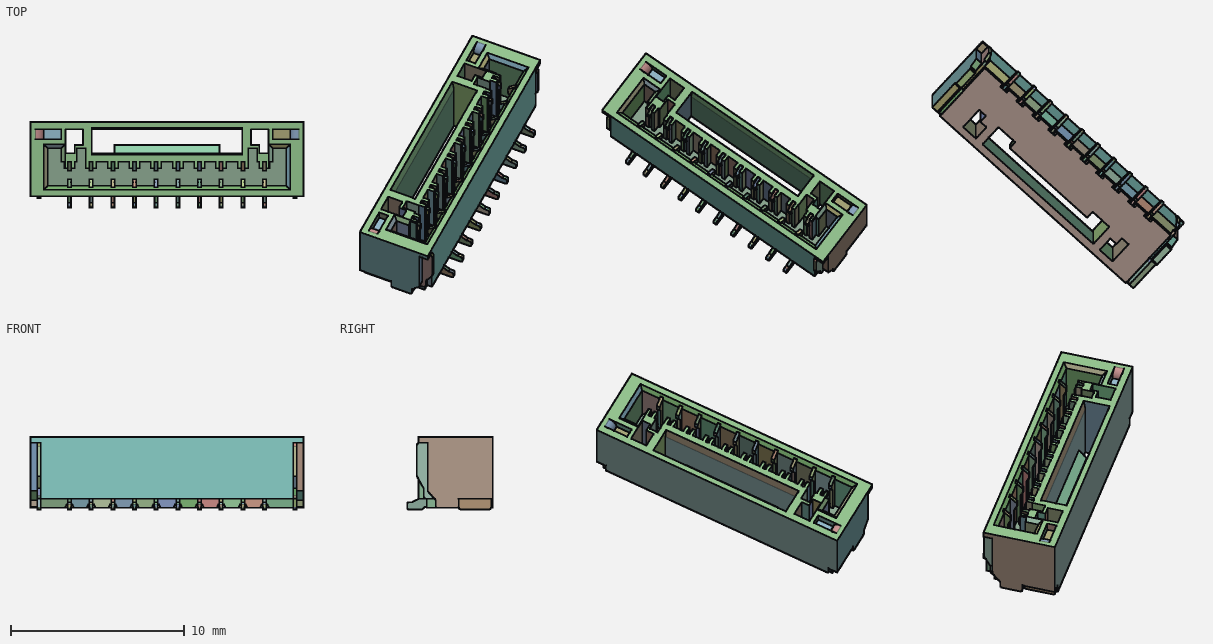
import cadquery as cq
import math


LENGTH = 15.75
DEPTH = 4.3
HEIGHT = 4.2
STANDOFF = 0.1
HALF = LENGTH / 2
SKIRT_Z = 0.62
BASE_FRONT_Y = 0.47
FLANGE_Z = 3.87
END_INSET = 0.6
END_FRONT_Y = 0.53
END_FOOT_Y = 1.01
END_SLOPE_LOW_Z = 0.53
END_SLOPE_HIGH_Z = 1.08
FOOT_CHAMFER = 0.07

PIN_COUNT = 10
PITCH = 1.25
PIN_WIDTH = 0.2
PIN_XS = [(i - (PIN_COUNT - 1) / 2) * PITCH for i in range(PIN_COUNT)]

FLOOR_Z = 1.0
CAVITY_FRONT_Y = 0.61
CAVITY_END_X = HALF - 1.0
LEAD_IN = 0.225
RIB_WALL_Y = 2.0
POCKET_BACK_Y = 2.77
POCKET_INNER_X = HALF - 1.77
KEY_SLOT_X = HALF - 2.92
KEY_SLOT_WIDTH = 0.52
TOOTH_WIDTH = 0.6
TOOTH_DEPTH = 0.38

WINDOW_HALF = HALF - 3.54
WINDOW_FRONT_Y = 2.5
WINDOW_BACK_Y = 3.86
WINDOW_FLARE = 0.1
FLARE_Z = 0.6
LEDGE_HALF = 3.03
LEDGE_DEPTH = 0.47
LEDGE_Z = 1.0
LATCH_OUTER_X = HALF - 2.03
LATCH_INNER_X = HALF - 3.03
LATCH_STEP_X = HALF - 2.55
LATCH_FRONT_Y = 2.5
LATCH_STEP_Y = 2.97
LATCH_BACK_Y = 3.87
RAMP_OUTER_X = HALF - 0.29
RAMP_INNER_X = HALF - 1.77
RAMP_FRONT_Y = 3.31
RAMP_BACK_Y = 3.87
RAMP_RADIUS = 0.49

ANCHOR_INSET = 0.4
ANCHOR_THICKNESS = END_INSET - ANCHOR_INSET
ANCHOR_BACK_Y = 1.2
ANCHOR_PROUD = 0.1
ANCHOR_FOOT_Y = 0.3
ANCHOR_SLOPE_LOW_Z = 1.24
ANCHOR_SLOPE_HIGH_Z = 1.94
ANCHOR_ROUND = 0.2
TAB_BACK_Y = 4.2
TAB_LENGTH = 1.88
TAB_FRONT_Y = TAB_BACK_Y - TAB_LENGTH
TAB_CORNER = 0.15

REAR_TIP_Y = 1.48
FRONT_TIP_Y = 0.98
TIP_Z = 3.7
TIP_SLOPE_Z = 0.4
BUMP_FACE_Z = 0.35
BUMP_RETURN_Z = 0.3
FRONT_PRONG_BACK_Y = 0.52
PRONG_THICKNESS = 0.3
PRONG_ROOT_Z = 0.72
TAIL_TIP_Y = -0.65
TAIL_SHOULDER_Y = -0.36
TAIL_TOP_Z = 0.44
TAIL_CORNER = 0.12
TAIL_HEEL_Y = 0.2
TAIL_BEND_Y = 0.37
TAIL_BEND_Z = 0.15
EXIT_HALF_TOP = 0.17
EXIT_HALF_BOTTOM = 0.26
EXIT_HEIGHT = 0.2
EXIT_DEPTH = 0.2


def block(x0, x1, y0, y1, z0, z1):
    """Axis-aligned box between two corners."""
    return cq.Workplane("XY").box(x1 - x0, y1 - y0, z1 - z0, centered=False).translate((x0, y0, z0))


def side_profile(points, x0, x1):
    """Extrude a closed (Y, Z) outline from x0 to x1."""
    return cq.Workplane("YZ").polyline(points).close().extrude(x1 - x0).translate((x0, 0, 0))


def both_ends(shape):
    """The +X end shape together with its mirror image at -X."""
    return shape.union(shape.mirror("YZ"))


def lead_in(x0, x1, y0, y1):
    """Funnel that widens the rectangle (x0, x1, y0, y1) evenly up to the top face."""
    centre = ((x0 + x1) / 2, (y0 + y1) / 2)
    width = x1 - x0
    depth = y1 - y0
    return (
        cq.Workplane("XY", origin=(*centre, HEIGHT - LEAD_IN)).rect(width, depth)
        .workplane(offset=LEAD_IN).rect(width + 2 * LEAD_IN, depth + 2 * LEAD_IN)
        .loft(ruled=True)
    )


def housing_blank():
    """Core with recessed base, plus the end blocks and the flange over the anchors."""
    core_outline = [
        (0, SKIRT_Z), (BASE_FRONT_Y, SKIRT_Z), (BASE_FRONT_Y, STANDOFF),
        (DEPTH, STANDOFF), (DEPTH, HEIGHT), (0, HEIGHT),
    ]
    core_half = HALF - END_INSET
    blank = side_profile(core_outline, -core_half, core_half)
    end_outline = [
        (0, HEIGHT), (0, FLANGE_Z), (END_FRONT_Y, FLANGE_Z), (END_FRONT_Y, END_SLOPE_HIGH_Z),
        (END_FOOT_Y, END_SLOPE_LOW_Z), (END_FOOT_Y, STANDOFF + FOOT_CHAMFER),
        (END_FOOT_Y + FOOT_CHAMFER, STANDOFF), (TAB_FRONT_Y - FOOT_CHAMFER, STANDOFF),
        (TAB_FRONT_Y, STANDOFF + FOOT_CHAMFER), (TAB_FRONT_Y, SKIRT_Z),
        (DEPTH, SKIRT_Z), (DEPTH, HEIGHT),
    ]
    end_block = side_profile(end_outline, core_half, HALF)
    anchor_slot = block(core_half, core_half + ANCHOR_THICKNESS, 0, DEPTH, 0, SKIRT_Z)
    return blank.union(both_ends(end_block.cut(anchor_slot)))


def mating_cavity():
    """Trough in front of the contacts, end pockets, key slots and lead-in."""
    trough = block(-CAVITY_END_X, CAVITY_END_X, CAVITY_FRONT_Y, RIB_WALL_Y, FLOOR_Z, HEIGHT)
    front_lead_in = side_profile(
        [
            (CAVITY_FRONT_Y, HEIGHT - LEAD_IN),
            (CAVITY_FRONT_Y, HEIGHT),
            (CAVITY_FRONT_Y - LEAD_IN, HEIGHT),
        ],
        -CAVITY_END_X, CAVITY_END_X,
    )
    pocket = block(POCKET_INNER_X, CAVITY_END_X, CAVITY_FRONT_Y, POCKET_BACK_Y, FLOOR_Z, HEIGHT)
    pocket = pocket.union(lead_in(POCKET_INNER_X, CAVITY_END_X, CAVITY_FRONT_Y, POCKET_BACK_Y))
    key_slot = block(
        KEY_SLOT_X - KEY_SLOT_WIDTH / 2, KEY_SLOT_X + KEY_SLOT_WIDTH / 2,
        CAVITY_FRONT_Y, POCKET_BACK_Y, FLOOR_Z, HEIGHT,
    )
    cavity = trough.union(front_lead_in).union(both_ends(key_slot))
    tooth_front_y = RIB_WALL_Y - TOOTH_DEPTH
    for x in PIN_XS:
        tooth = block(x - TOOTH_WIDTH / 2, x + TOOTH_WIDTH / 2, tooth_front_y, RIB_WALL_Y, FLOOR_Z, HEIGHT)
        cavity = cavity.cut(tooth)
    return cavity.union(both_ends(pocket))


def window():
    """Through window behind the contacts, flared at the top, with a sloped ledge on its front wall."""
    outline = [
        (WINDOW_FRONT_Y, 0), (WINDOW_BACK_Y, 0), (WINDOW_BACK_Y, HEIGHT - FLARE_Z),
        (WINDOW_BACK_Y + WINDOW_FLARE, HEIGHT), (WINDOW_FRONT_Y - WINDOW_FLARE, HEIGHT),
        (WINDOW_FRONT_Y, HEIGHT - FLARE_Z),
    ]
    ledge = side_profile(
        [
            (WINDOW_FRONT_Y, STANDOFF), (WINDOW_FRONT_Y + LEDGE_DEPTH, STANDOFF),
            (WINDOW_FRONT_Y + LEDGE_DEPTH, LEDGE_Z), (WINDOW_FRONT_Y, LEDGE_Z + LEDGE_DEPTH),
        ],
        -LEDGE_HALF, LEDGE_HALF,
    )
    return side_profile(outline, -WINDOW_HALF, WINDOW_HALF).cut(ledge)


def latch_opening():
    """L-shaped through opening beside the window at the +X end."""
    wide = block(LATCH_INNER_X, LATCH_OUTER_X, LATCH_STEP_Y, LATCH_BACK_Y, 0, HEIGHT)
    narrow = block(LATCH_STEP_X, LATCH_OUTER_X, LATCH_FRONT_Y, LATCH_STEP_Y, 0, HEIGHT)
    return wide.union(narrow)


def ramp_pocket():
    """Blind pocket in the +X back corner whose outer end is a quarter-round ramp."""
    floor_z = HEIGHT - RAMP_RADIUS
    diagonal = RAMP_RADIUS * math.cos(math.radians(45))
    return (
        cq.Workplane("XZ", origin=(0, RAMP_FRONT_Y, 0))
        .moveTo(RAMP_INNER_X, HEIGHT)
        .lineTo(RAMP_OUTER_X, HEIGHT)
        .threePointArc(
            (RAMP_OUTER_X - diagonal, floor_z + diagonal),
            (RAMP_OUTER_X - RAMP_RADIUS, floor_z),
        )
        .lineTo(RAMP_INNER_X, floor_z)
        .close()
        .extrude(RAMP_FRONT_Y - RAMP_BACK_Y)
    )


def prong(tip_y, back_y):
    """One fork arm in (Y, Z): lead-in slope, contact bump, straight arm down into the base."""
    toward_back = math.copysign(1, back_y - tip_y)
    arm_y = back_y - toward_back * PRONG_THICKNESS
    bump_low_z = TIP_Z - BUMP_FACE_Z
    return [
        (back_y, PRONG_ROOT_Z), (back_y, TIP_Z + TIP_SLOPE_Z), (tip_y, TIP_Z),
        (tip_y, bump_low_z), (arm_y, bump_low_z - BUMP_RETURN_Z), (arm_y, PRONG_ROOT_Z),
    ]


def contact():
    """Fork contact centred on X = 0 with a gull-wing solder tail."""
    tail = [
        (0, SKIRT_Z), (TAIL_SHOULDER_Y, TAIL_TOP_Z), (TAIL_TIP_Y, TAIL_TOP_Z), (TAIL_TIP_Y, 0),
        (TAIL_HEEL_Y, 0), (TAIL_BEND_Y, TAIL_BEND_Z), (RIB_WALL_Y, TAIL_BEND_Z), (RIB_WALL_Y, SKIRT_Z),
    ]
    half = PIN_WIDTH / 2
    shape = side_profile(tail, -half, half).edges("|X and <Y").fillet(TAIL_CORNER)
    shape = shape.union(side_profile(prong(REAR_TIP_Y, RIB_WALL_Y), -half, half))
    return shape.union(side_profile(prong(FRONT_TIP_Y, FRONT_PRONG_BACK_Y), -half, half))


def contact_slot():
    """Slot for both prongs, from inside the front cavity wall to the back of the tooth."""
    half = PIN_WIDTH / 2
    return block(-half, half, FRONT_PRONG_BACK_Y, RIB_WALL_Y, FLOOR_Z, HEIGHT)


def tail_exit():
    """Flared relief in the base around a solder tail."""
    top_z = STANDOFF + EXIT_HEIGHT
    outline = [
        (-EXIT_HALF_BOTTOM, STANDOFF), (EXIT_HALF_BOTTOM, STANDOFF),
        (EXIT_HALF_TOP, top_z), (-EXIT_HALF_TOP, top_z),
    ]
    return (
        cq.Workplane("XZ").polyline(outline).close().extrude(-EXIT_DEPTH)
        .translate((0, BASE_FRONT_Y, 0))
    )


def anchor():
    """Upright solder anchor sheet and its solder tab at the +X end."""
    x0 = HALF - END_INSET
    x1 = HALF - ANCHOR_INSET
    sheet_outline = [
        (ANCHOR_BACK_Y, SKIRT_Z), (ANCHOR_FOOT_Y, SKIRT_Z), (ANCHOR_FOOT_Y, ANCHOR_SLOPE_LOW_Z),
        (-ANCHOR_PROUD, ANCHOR_SLOPE_HIGH_Z), (-ANCHOR_PROUD, FLANGE_Z), (ANCHOR_BACK_Y, FLANGE_Z),
    ]
    sheet = side_profile(sheet_outline, x0, x1)
    sheet = sheet.edges("|X and <Y and >Z").fillet(ANCHOR_ROUND)
    foot_edge = cq.selectors.NearestToPointSelector(((x0 + x1) / 2, ANCHOR_FOOT_Y, SKIRT_Z))
    sheet = sheet.edges(foot_edge).fillet(ANCHOR_ROUND)
    tab = block(x0, x1, TAB_FRONT_Y, TAB_BACK_Y, 0, SKIRT_Z)
    tab = tab.edges("|X and <Z").fillet(TAB_CORNER)
    return sheet.union(tab)


body = housing_blank().cut(mating_cavity()).cut(window())
body = body.cut(both_ends(latch_opening())).cut(both_ends(ramp_pocket()))
for pin_x in PIN_XS:
    body = body.cut(contact_slot().translate((pin_x, 0, 0)))
    body = body.cut(tail_exit().translate((pin_x, 0, 0)))
for pin_x in PIN_XS:
    body = body.union(contact().translate((pin_x, 0, 0)))
result = body.union(both_ends(anchor()))